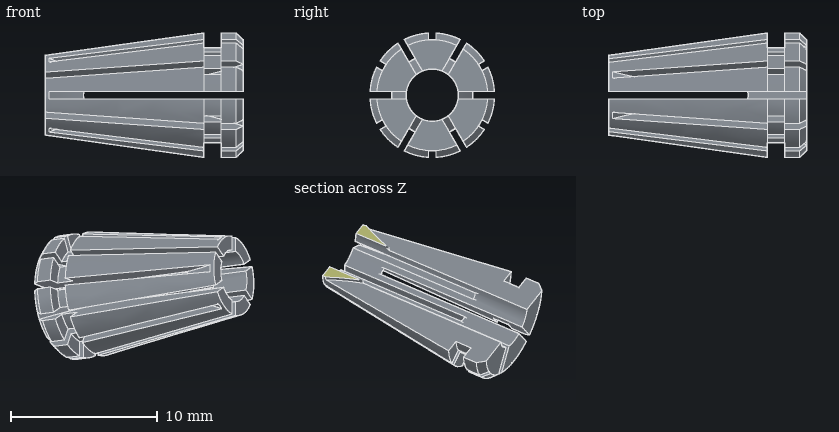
import cadquery as cq
import math

LENGTH = 13.5
BORE_RADIUS = 1.77
FLANGE_RADIUS = 4.25
GROOVE_RADIUS = 3.25
CONE_LENGTH = 10.81
CONE_HALF_ANGLE = 8.0
GROOVE_WIDTH = 1.17
CHAMFER_LENGTH = 0.5
CHAMFER_DEPTH = 0.47

SLOTS_PER_END = 6
SLOT_WIDTH = 0.49
SAW_RADIUS = 14.58
SAW_DEEPEST_RADIUS = 1.05
NOSE_SLOT_BORE_END = 9.5
REAR_SLOT_BORE_END = 2.62
SAW_OVERRUN = 0.68

nose_radius = FLANGE_RADIUS - CONE_LENGTH * math.tan(math.radians(CONE_HALF_ANGLE))
flange_start = CONE_LENGTH + GROOVE_WIDTH
rear_radius = FLANGE_RADIUS - CHAMFER_DEPTH


def make_body():
    """Tapered sleeve with an extraction groove and a chamfered flange."""
    half_section = [
        (0, BORE_RADIUS),
        (0, nose_radius),
        (CONE_LENGTH, FLANGE_RADIUS),
        (CONE_LENGTH, GROOVE_RADIUS),
        (flange_start, GROOVE_RADIUS),
        (flange_start, FLANGE_RADIUS),
        (LENGTH - CHAMFER_LENGTH, FLANGE_RADIUS),
        (LENGTH, rear_radius),
        (LENGTH, BORE_RADIUS),
    ]
    return cq.Workplane("XY").polyline(half_section).close().revolve(360, (0, 0, 0), (1, 0, 0))


def saw_reach(radius):
    """Axial distance from the saw's lowest point to where its rim is at this radius."""
    height_below_center = SAW_RADIUS + SAW_DEEPEST_RADIUS - radius
    return math.sqrt(SAW_RADIUS**2 - height_below_center**2)


def make_slot_cutter(bore_end, direction):
    """Cutter in the +Z half plane; direction is +1 when the floor rises toward +X, -1 toward -X."""
    saw_center_x = bore_end - direction * saw_reach(BORE_RADIUS)
    top_radius = FLANGE_RADIUS + SAW_OVERRUN
    middle_radius = (BORE_RADIUS + top_radius) / 2
    open_end = -SAW_OVERRUN if direction > 0 else LENGTH + SAW_OVERRUN

    def rim_point(radius):
        return (saw_center_x + direction * saw_reach(radius), radius)

    return (
        cq.Workplane("XZ")
        .moveTo(open_end, SAW_DEEPEST_RADIUS)
        .lineTo(saw_center_x, SAW_DEEPEST_RADIUS)
        .threePointArc(rim_point(middle_radius), rim_point(top_radius))
        .lineTo(open_end, top_radius)
        .close()
        .extrude(SLOT_WIDTH / 2, both=True)
    )


def cut_slot_set(body, cutter, first_angle):
    """Cut one set of evenly spaced slots around the X axis."""
    pitch = 360 / SLOTS_PER_END
    for index in range(SLOTS_PER_END):
        angle = first_angle + index * pitch
        body = body.cut(cutter.rotate((0, 0, 0), (1, 0, 0), angle))
    return body


half_pitch = 180 / SLOTS_PER_END
result = make_body()
result = cut_slot_set(result, make_slot_cutter(NOSE_SLOT_BORE_END, 1), 0)
result = cut_slot_set(result, make_slot_cutter(REAR_SLOT_BORE_END, -1), half_pitch)